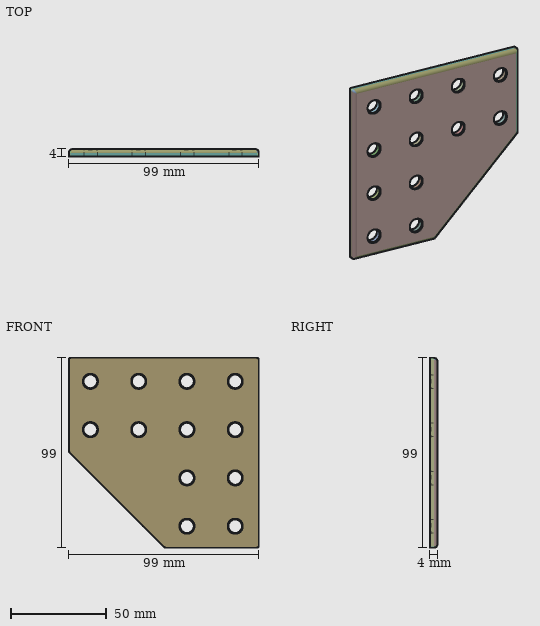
import cadquery as cq

plate_size = 99.0
thickness = 4.0
corner_cut = 50.0
corner_radius = 1.0
back_edge_radius = 2.0

hole_pitch = 25.15
hole_inset = 12.3
hole_diameter = 7.0
hole_chamfer = 0.5
holes_per_side = 4
arm_width_in_holes = 2


def make_plate():
    """Square plate with its lower left corner cut off at 45 degrees."""
    outline = [
        (corner_cut, 0),
        (plate_size, 0),
        (plate_size, plate_size),
        (0, plate_size),
        (0, corner_cut),
    ]
    plate = cq.Workplane("XZ").polyline(outline).close().extrude(-thickness)
    plate = plate.faces(">Y").edges().fillet(back_edge_radius)
    return plate.edges("|Y").fillet(corner_radius)


def hole_centres():
    """Grid positions along the top arm and down the right arm."""
    return [
        (plate_size - hole_inset - column * hole_pitch, plate_size - hole_inset - row * hole_pitch)
        for column in range(holes_per_side)
        for row in range(holes_per_side)
        if min(column, row) < arm_width_in_holes
    ]


def make_hole_cutters():
    """Through holes, each with both mouths chamfered."""
    mouth_radius = hole_diameter / 2 + hole_chamfer
    profile = [
        (0, 0),
        (mouth_radius, 0),
        (hole_diameter / 2, hole_chamfer),
        (hole_diameter / 2, thickness - hole_chamfer),
        (mouth_radius, thickness),
        (0, thickness),
    ]
    cutter = cq.Workplane("XY").polyline(profile).close().revolve(360, (0, 0, 0), (0, 1, 0))
    cutters = cq.Workplane("XY")
    for x, z in hole_centres():
        cutters = cutters.add(cutter.translate((x, 0, z)))
    return cutters.combine()


result = make_plate().cut(make_hole_cutters())